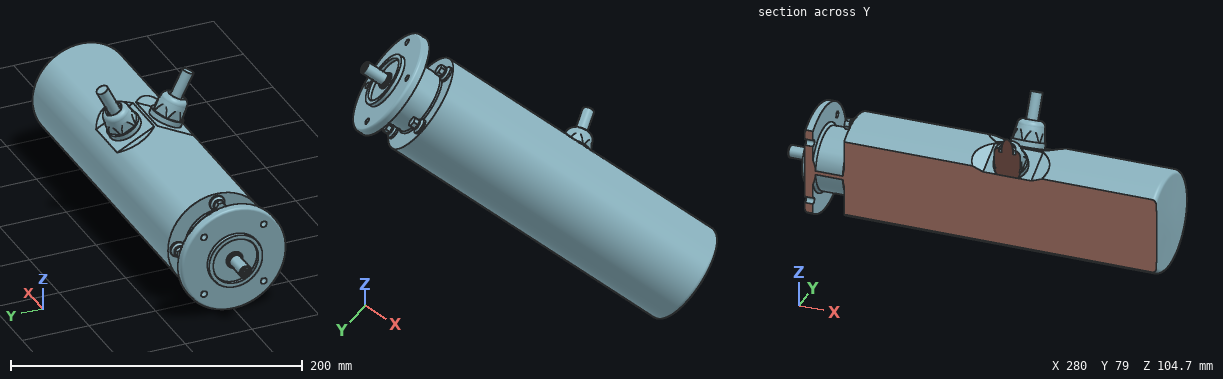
import cadquery as cq
import math


HOUSING_DIAMETER = 73.0
HOUSING_RADIUS = HOUSING_DIAMETER / 2
HOUSING_FACE_X = 49.0
HOUSING_END_X = 279.2
HOUSING_END_FILLET = 3.5
END_APEX_X = 280.0

FLANGE_DIAMETER = 79.0
FLANGE_FACE_DIAMETER = 75.0
FLANGE_FRONT_X = 20.0
FLANGE_BACK_X = 26.0
PILOT_DIAMETER = 40.0
PILOT_FRONT_X = 16.8
PILOT_RECESS_DIAMETER = 34.0
PILOT_RECESS_DEPTH = 2.5
NECK_DIAMETER = 46.0
NECK_CHAMFER = 2.0
NECK_FOOT_CHAMFER = 1.0
FLANGE_HOLE_COUNT = 4
FLANGE_HOLE_START_ANGLE = 45
FLANGE_HOLE_DIAMETER = 4.5
FLANGE_HOLE_CIRCLE_DIAMETER = 63.3

SHAFT_DIAMETER = 9.0
SHAFT_CHAMFER = 0.7
COLLAR_DIAMETER = 12.0
COLLAR_FRONT_X = 18.2
COLLAR_TIP_DIAMETER = 11.0
COLLAR_TIP_X = 17.0
CENTRE_HOLE_DIAMETER = 3.5
CENTRE_HOLE_DEPTH = 2.8
COUNTERSINK_DIAMETER = 5.0

HEX_SIDES = 6
HEX_HALF_ANGLE = 180 / HEX_SIDES

SCREW_COUNT = 4
SCREW_CIRCLE_DIAMETER = 59.0
SCREW_HEX_CORNERS = 7.5
SCREW_HEAD_LENGTH = 7.5
SCREW_HEX_LENGTH = 3.5
SCREW_FLANGE_DIAMETER = 11.0
SCREW_FLANGE_HEIGHT = 3.0
SCREW_RIM_HEIGHT = 1.5

GLAND_X = 169.0
GLAND_TILT = 27.0
SEAT_HEIGHT = 33.0
SEAT_LENGTH = 35.5
SEAT_RAMP_LENGTH = 10.0

GLAND_BASE_DIAMETER = 24.0
GLAND_BASE_HEIGHT = 4.2
GLAND_HEX_FLATS = 20.5
GLAND_CONE_FOOT_DIAMETER = 23.0
GLAND_CONE_TOP_DIAMETER = 19.5
GLAND_CONE_TOP_HEIGHT = 14.5
GLAND_HEIGHT = 18.8
GLAND_DOME_RADIUS = 4.2
GLAND_MOUTH_DIAMETER = 12.0
GLAND_MOUTH_DEPTH = 2.8
CABLE_DIAMETER = 8.5
CABLE_END_HEIGHT = 38.0


def cylinder_x(diameter, start_x, end_x):
    """Cylinder on the motor axis between two X positions."""
    return cq.Workplane("YZ").workplane(offset=start_x).circle(diameter / 2).extrude(end_x - start_x)


def make_housing():
    """Round housing with a rounded rear edge and a very shallow conical end."""
    cone_radius = HOUSING_RADIUS - HOUSING_END_FILLET
    fillet_start_x = HOUSING_END_X - HOUSING_END_FILLET
    profile = (
        cq.Workplane("XY")
        .moveTo(HOUSING_FACE_X, 0)
        .lineTo(HOUSING_FACE_X, HOUSING_RADIUS)
        .lineTo(fillet_start_x, HOUSING_RADIUS)
        .radiusArc((HOUSING_END_X, cone_radius), HOUSING_END_FILLET)
        .lineTo(END_APEX_X, 0)
        .close()
    )
    return profile.revolve(360, (0, 0, 0), (1, 0, 0))


def make_flange():
    """Flange, pilot and neck turned as one profile, with the pilot recess and fixing holes."""
    edge_radius = (FLANGE_DIAMETER - FLANGE_FACE_DIAMETER) / 2
    profile = (
        cq.Workplane("XY")
        .moveTo(PILOT_FRONT_X, 0)
        .lineTo(PILOT_FRONT_X, PILOT_DIAMETER / 2)
        .lineTo(FLANGE_FRONT_X, PILOT_DIAMETER / 2)
        .lineTo(FLANGE_FRONT_X, FLANGE_FACE_DIAMETER / 2)
        .radiusArc((FLANGE_FRONT_X + edge_radius, FLANGE_DIAMETER / 2), edge_radius)
        .lineTo(FLANGE_BACK_X, FLANGE_DIAMETER / 2)
        .lineTo(FLANGE_BACK_X, NECK_DIAMETER / 2 + NECK_CHAMFER)
        .lineTo(FLANGE_BACK_X + NECK_CHAMFER, NECK_DIAMETER / 2)
        .lineTo(HOUSING_FACE_X - NECK_FOOT_CHAMFER, NECK_DIAMETER / 2)
        .lineTo(HOUSING_FACE_X, NECK_DIAMETER / 2 + NECK_FOOT_CHAMFER)
        .lineTo(HOUSING_FACE_X, 0)
        .close()
    )
    flange = profile.revolve(360, (0, 0, 0), (1, 0, 0))
    recess_floor_x = PILOT_FRONT_X + PILOT_RECESS_DEPTH
    recess = cylinder_x(PILOT_RECESS_DIAMETER, PILOT_FRONT_X, recess_floor_x)
    fixing_holes = (
        cq.Workplane("YZ")
        .workplane(offset=FLANGE_FRONT_X)
        .polarArray(FLANGE_HOLE_CIRCLE_DIAMETER / 2, FLANGE_HOLE_START_ANGLE, 360, FLANGE_HOLE_COUNT)
        .circle(FLANGE_HOLE_DIAMETER / 2)
        .extrude(FLANGE_BACK_X - FLANGE_FRONT_X)
    )
    return flange.cut(recess).cut(fixing_holes)


def make_shaft():
    """Shaft with a chamfered end, a countersunk centre hole and a stepped collar in the recess."""
    shaft = cylinder_x(SHAFT_DIAMETER, 0, FLANGE_BACK_X).faces("<X").chamfer(SHAFT_CHAMFER)
    countersink_depth = (COUNTERSINK_DIAMETER - CENTRE_HOLE_DIAMETER) / 2
    centre_hole = (
        cq.Workplane("XY")
        .lineTo(0, COUNTERSINK_DIAMETER / 2)
        .lineTo(countersink_depth, CENTRE_HOLE_DIAMETER / 2)
        .lineTo(CENTRE_HOLE_DEPTH, CENTRE_HOLE_DIAMETER / 2)
        .lineTo(CENTRE_HOLE_DEPTH, 0)
        .close()
        .revolve(360, (0, 0, 0), (1, 0, 0))
    )
    collar = cylinder_x(COLLAR_DIAMETER, COLLAR_FRONT_X, FLANGE_BACK_X)
    collar_tip = cylinder_x(COLLAR_TIP_DIAMETER, COLLAR_TIP_X, FLANGE_BACK_X)
    return shaft.cut(centre_hole).union(collar).union(collar_tip)


def make_screw(angle):
    """Flanged hexagon screw head on the housing face, turned about the motor axis by an angle."""
    head_x = HOUSING_FACE_X - SCREW_HEAD_LENGTH
    rim_x = HOUSING_FACE_X - SCREW_RIM_HEIGHT
    cone_x = HOUSING_FACE_X - SCREW_FLANGE_HEIGHT
    screw_flange = (
        cq.Workplane("XY")
        .moveTo(cone_x, 0)
        .lineTo(cone_x, SCREW_HEX_CORNERS / 2)
        .lineTo(rim_x, SCREW_FLANGE_DIAMETER / 2)
        .lineTo(HOUSING_FACE_X, SCREW_FLANGE_DIAMETER / 2)
        .lineTo(HOUSING_FACE_X, 0)
        .close()
        .revolve(360, (0, 0, 0), (1, 0, 0))
    )
    head = (
        cq.Workplane("YZ")
        .workplane(offset=head_x)
        .polygon(HEX_SIDES, SCREW_HEX_CORNERS)
        .extrude(SCREW_HEX_LENGTH)
    )
    collar = cylinder_x(SCREW_HEX_CORNERS, head_x + SCREW_HEX_LENGTH, HOUSING_FACE_X)
    screw = screw_flange.union(collar).union(head).translate((0, 0, SCREW_CIRCLE_DIAMETER / 2))
    return screw.rotate((0, 0, 0), (1, 0, 0), angle)


def place_on_seat(shape, tilt):
    """Move a shape built upward from the origin onto the seat tilted about the motor axis."""
    return shape.translate((GLAND_X, 0, SEAT_HEIGHT)).rotate((0, 0, 0), (1, 0, 0), tilt)


def make_seat_cut(tilt):
    """Flat seat with a ramp at each end that runs out at the housing surface."""
    half_flat = SEAT_LENGTH / 2
    half_open = half_flat + SEAT_RAMP_LENGTH
    rise = HOUSING_RADIUS - SEAT_HEIGHT
    cutter = (
        cq.Workplane("XZ")
        .polyline([(-half_flat, 0), (half_flat, 0), (half_open, rise), (-half_open, rise)])
        .close()
        .extrude(HOUSING_RADIUS, both=True)
    )
    return place_on_seat(cutter, tilt)


def make_gland(tilt):
    """Cable gland with its cable: round base, domed cone with hexagon flats, open mouth."""
    base_radius = GLAND_BASE_DIAMETER / 2
    cap = (
        cq.Workplane("XZ")
        .moveTo(0, 0)
        .lineTo(base_radius, 0)
        .lineTo(base_radius, GLAND_BASE_HEIGHT)
        .lineTo(GLAND_CONE_FOOT_DIAMETER / 2, GLAND_BASE_HEIGHT)
        .lineTo(GLAND_CONE_TOP_DIAMETER / 2, GLAND_CONE_TOP_HEIGHT)
        .radiusArc((GLAND_MOUTH_DIAMETER / 2, GLAND_HEIGHT), -GLAND_DOME_RADIUS)
        .lineTo(0, GLAND_HEIGHT)
        .close()
        .revolve(360, (0, 0, 0), (0, 1, 0))
    )
    hex_corners = GLAND_HEX_FLATS / math.cos(math.radians(HEX_HALF_ANGLE))
    hexagon = (
        cq.Workplane("XY")
        .workplane(offset=GLAND_BASE_HEIGHT)
        .transformed(rotate=(0, 0, HEX_HALF_ANGLE))
        .polygon(HEX_SIDES, hex_corners)
        .extrude(GLAND_HEIGHT - GLAND_BASE_HEIGHT)
    )
    base = cq.Workplane("XY").circle(base_radius).extrude(GLAND_BASE_HEIGHT)
    mouth = (
        cq.Workplane("XY")
        .workplane(offset=GLAND_HEIGHT - GLAND_MOUTH_DEPTH)
        .circle(GLAND_MOUTH_DIAMETER / 2)
        .extrude(GLAND_MOUTH_DEPTH)
    )
    cable = cq.Workplane("XY").circle(CABLE_DIAMETER / 2).extrude(CABLE_END_HEIGHT)
    gland = cap.intersect(hexagon.union(base)).cut(mouth).union(cable)
    return place_on_seat(gland, tilt)


gland_tilts = [-GLAND_TILT, GLAND_TILT]

motor = make_housing().union(make_flange()).union(make_shaft())
for index in range(SCREW_COUNT):
    motor = motor.union(make_screw(index * 360 / SCREW_COUNT))
for seat_tilt in gland_tilts:
    motor = motor.cut(make_seat_cut(seat_tilt))

glands = [make_gland(gland_tilt) for gland_tilt in gland_tilts]

result = cq.Compound.makeCompound([motor.val(), *[gland.val() for gland in glands]])